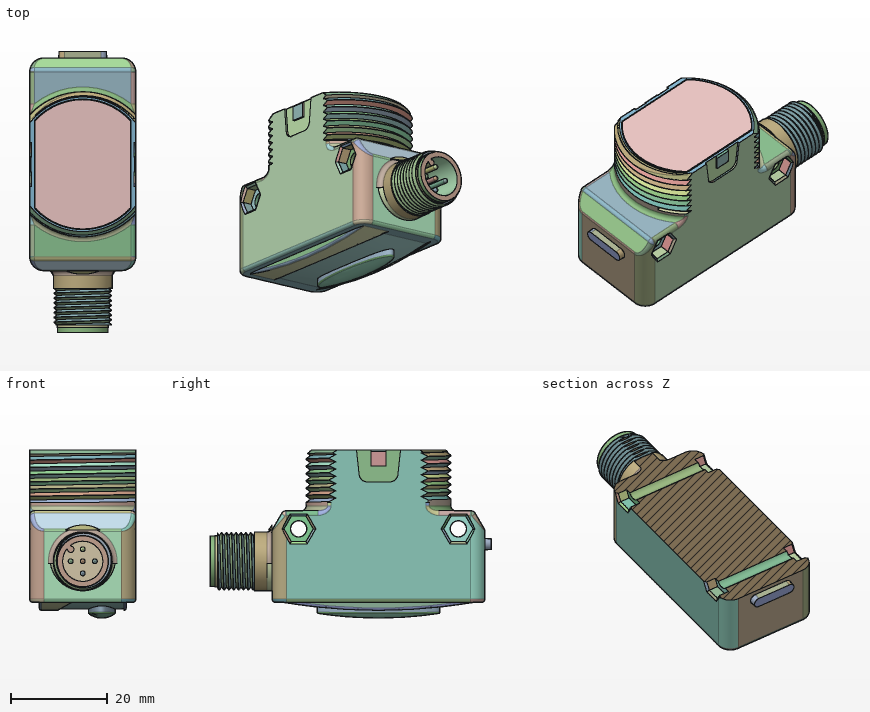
import cadquery as cq
import math


OVERLAP = 0.5
TOLERANCE = 0.01

WIDTH = 22.0
LENGTH = 44.0
BOX_HEIGHT = 18.95
CORNER_RADIUS = 3.0
TOP_EDGE_RADIUS = 1.0
BOTTOM_EDGE_RADIUS = 0.7
END_SLOPE_RUN = 2.3
END_SLOPE_DROP = END_SLOPE_RUN * math.tan(math.radians(60))

BARREL_TOP = 31.5
BARREL_RADIUS = 15.0
BARREL_FLARE = 1.0
PLAIN_HEIGHT = 0.7
FOOT_TOP = BOX_HEIGHT + BARREL_FLARE + PLAIN_HEIGHT
BARREL_CHAMFER = 1.1
BARREL_PITCH = 1.5
BARREL_THREAD_DEPTH = 0.9
BARREL_THREAD_LENGTH = 10.8
BARREL_THREAD_START = 114

WINDOW_WIDTH = 20.0
WINDOW_RADIUS = 13.5
WINDOW_THICKNESS = 2.0
WINDOW_CHAMFER = 0.15

RECESS_DEPTH = 0.4
RECESS_HEIGHT = 6.6
RECESS_TOP_WIDTH = 9.1
RECESS_BOTTOM_WIDTH = 7.7
RECESS_CORNER = 1.7
CATCH_WIDTH = 3.2
CATCH_HEIGHT = 3.35
CATCH_CHAMFER = 0.35

MOUNT_SPACING = 33.0
MOUNT_Z = BARREL_TOP - 16.3
MOUNT_HOLE = 3.3
NUT_ACROSS_FLATS = 5.25
NUT_POCKET_DEPTH = 2.5
NUT_LEAD_IN = 0.45

PLUG_Z = BARREL_TOP - 23.0
PLUG_LENGTH = 12.8
COLLAR_RADIUS = 6.1
COLLAR_LENGTH = 3.65
COLLAR_FLARE = 1.0
FLARE_BOTTOM = -0.45
FLARE_TOP = 6.5
FLARE_OVERLAP = 0.1
LOWER_FLARE_RADIUS = 6.8
PLUG_RADIUS = 5.95
PLUG_PITCH = 1.0
PLUG_THREAD_DEPTH = 0.6
PLUG_THREAD_LENGTH = 7.6
PLUG_THREAD_START = 180
NECK_RADIUS = 5.32
NECK_LENGTH = 0.5
NOSE_RADIUS = 5.25
BORE_RADIUS = 4.15
BORE_DEPTH = 8.7
KEY_RADIUS = 0.65
KEY_OFFSET = 3.5
KEY_WEB = 1.1
PIN_RADIUS = 0.5
PIN_LENGTH = 7.2
PIN_TIP_RADIUS = 0.45
PIN_OFFSET = 2.5

TAB_LENGTH = 10.0
TAB_HEIGHT = 2.4
TAB_PROJECTION = 1.33
TAB_DRAFT = 4.0
TAB_Z = BARREL_TOP - 19.45

PAD_WIDTH = 18.0
PAD_LENGTH = 39.4
PAD_DROP = 1.65
PAD_EDGE_RADIUS = 0.5
PANEL_DEPTH = 0.25
PANEL_RIGHT = 8.5
PANEL_LEFT_MIDDLE = -5.2
PANEL_LEFT_END = -2.3
BUTTON_X = 3.95
BUTTON_WIDTH = 5.6
BUTTON_LENGTH = 25.4
BUTTON_DROP = 3.25
BUTTON_CROWN = 1.0
BUTTON_CROSS_RADIUS = 4.4
BUTTON_RIM_RADIUS = 0.3


def threaded_rod(radius, depth, pitch, length, start_angle):
    """Rod along Z with a V-shaped groove that climbs from z = 0 to `length`.

    The groove starts at `start_angle` degrees from +X. Plain stretches of two pitches are
    left below and above it.
    """
    plain = 2 * pitch
    clearance = 0.02
    half_opening = 0.48 * pitch
    root = radius - depth
    helix = cq.Wire.makeHelix(pitch, length, root)
    section = (
        cq.Workplane("XZ")
        .moveTo(root, 0)
        .lineTo(radius + clearance, half_opening)
        .lineTo(radius + clearance, -half_opening)
        .close()
    )
    groove = section.sweep(cq.Workplane(helix), isFrenet=True)
    rod = cq.Workplane("XY").workplane(offset=-plain).circle(radius).extrude(length + 2 * plain)
    return rod.cut(groove).rotate((0, 0, 0), (0, 0, 1), start_angle)


def between_flats(body, width):
    """Trim a body to the given width across X."""
    size = 4 * LENGTH
    return body.intersect(cq.Workplane("XY").box(width, size, size))


def make_box():
    box = (
        cq.Workplane("XY")
        .box(WIDTH, LENGTH, BOX_HEIGHT, centered=(True, True, False))
        .edges("|Z")
        .fillet(CORNER_RADIUS)
    )
    for end in (-1, 1):
        wedge = (
            cq.Workplane("YZ")
            .moveTo(end * (LENGTH / 2 - END_SLOPE_RUN), BOX_HEIGHT)
            .lineTo(end * LENGTH / 2, BOX_HEIGHT)
            .lineTo(end * LENGTH / 2, BOX_HEIGHT - END_SLOPE_DROP)
            .close()
            .extrude(WIDTH, both=True)
        )
        box = box.cut(wedge)
    return box.faces("<Z").edges().fillet(BOTTOM_EDGE_RADIUS)


def make_barrel():
    """Plain barrel with a chamfered top and a flare that runs out onto the box."""
    flare_radius = BARREL_RADIUS + BARREL_FLARE
    flare_middle = flare_radius - BARREL_FLARE * math.sqrt(0.5)
    flare_middle_z = BOX_HEIGHT + BARREL_FLARE * (1 - math.sqrt(0.5))
    barrel = (
        cq.Workplane("XZ")
        .moveTo(0, BOX_HEIGHT - OVERLAP)
        .lineTo(flare_radius, BOX_HEIGHT - OVERLAP)
        .lineTo(flare_radius, BOX_HEIGHT)
        .threePointArc((flare_middle, flare_middle_z), (BARREL_RADIUS, BOX_HEIGHT + BARREL_FLARE))
        .lineTo(BARREL_RADIUS, BARREL_TOP - BARREL_CHAMFER)
        .lineTo(BARREL_RADIUS - BARREL_CHAMFER, BARREL_TOP)
        .lineTo(0, BARREL_TOP)
        .close()
        .revolve(360, (0, 0, 0), (0, 1, 0))
    )
    return between_flats(barrel, WIDTH)


def make_barrel_rod():
    rod = threaded_rod(
        BARREL_RADIUS,
        BARREL_THREAD_DEPTH,
        BARREL_PITCH,
        BARREL_THREAD_LENGTH + BARREL_PITCH,
        BARREL_THREAD_START,
    )
    return rod.translate((0, 0, BARREL_TOP - BARREL_THREAD_LENGTH))


def make_window():
    window = (
        cq.Workplane("XY")
        .workplane(offset=BARREL_TOP - WINDOW_THICKNESS)
        .circle(WINDOW_RADIUS)
        .extrude(WINDOW_THICKNESS)
    )
    return between_flats(window, WINDOW_WIDTH)


def make_snap_recess(side):
    """Recess in one flat of the barrel, leaving a square catch that leans in at its top."""
    floor_x = WIDTH / 2 - RECESS_DEPTH
    bottom = BARREL_TOP - RECESS_HEIGHT
    recess = (
        cq.Workplane("YZ")
        .workplane(offset=floor_x)
        .moveTo(-RECESS_TOP_WIDTH / 2, BARREL_TOP)
        .lineTo(RECESS_TOP_WIDTH / 2, BARREL_TOP)
        .lineTo(RECESS_BOTTOM_WIDTH / 2, bottom)
        .lineTo(-RECESS_BOTTOM_WIDTH / 2, bottom)
        .close()
        .extrude(RECESS_DEPTH)
        .edges("|X and <Z")
        .fillet(RECESS_CORNER)
    )
    catch = (
        cq.Workplane("XZ")
        .moveTo(floor_x, BARREL_TOP)
        .lineTo(floor_x, BARREL_TOP - CATCH_HEIGHT)
        .lineTo(WIDTH / 2, BARREL_TOP - CATCH_HEIGHT)
        .lineTo(WIDTH / 2, BARREL_TOP - CATCH_CHAMFER)
        .lineTo(WIDTH / 2 - CATCH_CHAMFER, BARREL_TOP)
        .close()
        .extrude(CATCH_WIDTH / 2, both=True)
    )
    recess = recess.cut(catch)
    return recess if side > 0 else recess.mirror("YZ")


def make_mount_hole(y):
    """Cross hole with a chamfered nut pocket at each end."""
    corner_ratio = 1 / math.cos(math.pi / 6)
    inner = NUT_ACROSS_FLATS * corner_ratio
    outer = (NUT_ACROSS_FLATS + 2 * NUT_LEAD_IN) * corner_ratio
    pocket = (
        cq.Workplane("YZ")
        .workplane(offset=WIDTH / 2 - NUT_POCKET_DEPTH)
        .polygon(6, inner)
        .extrude(NUT_POCKET_DEPTH)
    )
    lead_in = (
        cq.Workplane("YZ")
        .workplane(offset=WIDTH / 2 - NUT_LEAD_IN)
        .polygon(6, inner)
        .workplane(offset=NUT_LEAD_IN)
        .polygon(6, outer)
        .loft()
    )
    pocket = pocket.union(lead_in)
    hole = cq.Workplane("YZ").circle(MOUNT_HOLE / 2).extrude(WIDTH, both=True)
    return hole.union(pocket).union(pocket.mirror("YZ")).translate((0, y, MOUNT_Z))


def along_plug(body):
    """Move a body built along +Z, with +Y up, onto the plug axis that points along -Y."""
    return body.rotate((0, 0, 0), (1, 0, 0), 90).translate((0, -LENGTH / 2, PLUG_Z))


def make_collar_flare():
    """Rounded foot over the upper half of the collar, and a foot below that fades out downwards."""
    foot_radius = COLLAR_RADIUS + COLLAR_FLARE
    foot_middle = foot_radius - COLLAR_FLARE * math.sqrt(0.5)
    foot_middle_z = COLLAR_FLARE * (1 - math.sqrt(0.5))
    span = 2 * foot_radius
    upper = (
        cq.Workplane("XZ")
        .moveTo(0, -FLARE_OVERLAP)
        .lineTo(foot_radius, -FLARE_OVERLAP)
        .lineTo(foot_radius, 0)
        .threePointArc((foot_middle, foot_middle_z), (COLLAR_RADIUS, COLLAR_FLARE))
        .lineTo(0, COLLAR_FLARE)
        .close()
        .revolve(360, (0, 0, 0), (0, 1, 0))
    )
    upper_space = cq.Workplane("XY").box(span, FLARE_TOP - FLARE_BOTTOM, span)
    upper_space = upper_space.translate((0, (FLARE_TOP + FLARE_BOTTOM) / 2, 0))
    lower = (
        cq.Workplane("XY")
        .center(0, LOWER_FLARE_RADIUS - COLLAR_RADIUS)
        .circle(LOWER_FLARE_RADIUS)
        .workplane(offset=COLLAR_FLARE)
        .center(0, COLLAR_RADIUS - LOWER_FLARE_RADIUS)
        .circle(COLLAR_RADIUS)
        .loft()
    )
    lower = lower.cut(upper_space)
    return upper.intersect(upper_space).union(lower)


def make_plug():
    collar = cq.Workplane("XY").workplane(offset=-OVERLAP).circle(COLLAR_RADIUS)
    collar = collar.extrude(COLLAR_LENGTH + OVERLAP)
    thread_end = COLLAR_LENGTH + PLUG_THREAD_LENGTH
    rod = threaded_rod(
        PLUG_RADIUS, PLUG_THREAD_DEPTH, PLUG_PITCH, PLUG_THREAD_LENGTH + PLUG_PITCH, PLUG_THREAD_START
    )
    threaded = rod.translate((0, 0, COLLAR_LENGTH - PLUG_PITCH / 2)).cut(
        cq.Workplane("XY").workplane(offset=thread_end).circle(2 * PLUG_RADIUS).extrude(PLUG_LENGTH)
    )
    nose = cq.Workplane("XY").circle(NOSE_RADIUS).extrude(PLUG_LENGTH)
    neck = cq.Workplane("XY").circle(NECK_RADIUS)
    neck = neck.extrude(thread_end + NECK_LENGTH)
    plug = threaded.union(collar).union(neck).union(nose)
    bore_floor = PLUG_LENGTH - BORE_DEPTH
    bore = cq.Workplane("XY").workplane(offset=bore_floor).circle(BORE_RADIUS).extrude(BORE_DEPTH)
    key = (
        cq.Workplane("XY")
        .workplane(offset=bore_floor)
        .center(-KEY_OFFSET, 0)
        .circle(KEY_RADIUS)
        .extrude(BORE_DEPTH)
    )
    key_web = cq.Workplane("XY").box(
        2 * KEY_RADIUS, KEY_WEB, BORE_DEPTH, centered=(True, True, False)
    )
    key = key.union(key_web.translate((-KEY_OFFSET - KEY_RADIUS, 0, bore_floor)))
    key = key.rotate((0, 0, 0), (0, 0, 1), -45)
    pin_places = [(0, 0), (PIN_OFFSET, 0), (-PIN_OFFSET, 0), (0, PIN_OFFSET), (0, -PIN_OFFSET)]
    pins = (
        cq.Workplane("XY")
        .workplane(offset=bore_floor - OVERLAP)
        .pushPoints(pin_places)
        .circle(PIN_RADIUS)
        .extrude(PIN_LENGTH + OVERLAP)
        .faces(">Z")
        .edges()
        .fillet(PIN_TIP_RADIUS)
    )
    plug = plug.cut(bore.cut(key)).union(pins)
    return along_plug(plug.union(make_collar_flare()))


def make_tab():
    """Round-ended tab with drafted sides, on a root that reaches into the end wall."""
    end_wall = cq.Workplane("XZ").workplane(offset=-LENGTH / 2).center(0, TAB_Z)
    root = end_wall.slot2D(TAB_LENGTH, TAB_HEIGHT).extrude(OVERLAP)
    tab = end_wall.slot2D(TAB_LENGTH, TAB_HEIGHT).extrude(-TAB_PROJECTION, taper=TAB_DRAFT)
    return tab.union(root)


def make_pad():
    """Curved pad under the box with a shallow sunken panel that follows the same curve."""
    pad = (
        cq.Workplane("YZ")
        .workplane(offset=-PAD_WIDTH / 2)
        .moveTo(-PAD_LENGTH / 2, OVERLAP)
        .lineTo(-PAD_LENGTH / 2, 0)
        .threePointArc((0, -PAD_DROP), (PAD_LENGTH / 2, 0))
        .lineTo(PAD_LENGTH / 2, OVERLAP)
        .close()
        .extrude(PAD_WIDTH)
    )
    panel_outline = (
        cq.Workplane("XY")
        .workplane(offset=-2 * PAD_DROP)
        .moveTo(PANEL_RIGHT, -PAD_LENGTH / 2)
        .lineTo(PANEL_RIGHT, PAD_LENGTH / 2)
        .lineTo(PANEL_LEFT_END, PAD_LENGTH / 2)
        .threePointArc((PANEL_LEFT_MIDDLE, 0), (PANEL_LEFT_END, -PAD_LENGTH / 2))
        .close()
        .extrude(2 * PAD_DROP)
    )
    panel = panel_outline.cut(pad.translate((0, 0, PANEL_DEPTH)))
    pad = pad.faces("<X or >X").edges("%CIRCLE").fillet(PAD_EDGE_RADIUS)
    return pad.cut(panel)


def make_button():
    """Long elliptical button whose underside is crowned both ways."""
    axis_z = -BUTTON_DROP + BUTTON_CROSS_RADIUS
    end_radius = BUTTON_CROSS_RADIUS - BUTTON_CROWN
    crown = (
        cq.Workplane("YZ")
        .moveTo(-BUTTON_LENGTH / 2, axis_z)
        .lineTo(-BUTTON_LENGTH / 2, axis_z - end_radius)
        .threePointArc((0, -BUTTON_DROP), (BUTTON_LENGTH / 2, axis_z - end_radius))
        .lineTo(BUTTON_LENGTH / 2, axis_z)
        .close()
        .revolve(360, (0, axis_z, 0), (1, axis_z, 0))
    )
    outline = (
        cq.Workplane("XY")
        .workplane(offset=-BUTTON_DROP)
        .ellipse(BUTTON_WIDTH / 2, BUTTON_LENGTH / 2)
        .extrude(BUTTON_DROP + OVERLAP)
    )
    button = outline.intersect(crown).faces("<Z").edges().fillet(BUTTON_RIM_RADIUS)
    return button.translate((BUTTON_X, 0, 0))


def make_foot_space():
    """Space below the threaded part of the barrel."""
    return cq.Workplane("XY").box(2 * WIDTH, 2 * LENGTH, 2 * FOOT_TOP)


def make_body():
    """Box and barrel foot with their upper outline rounded off."""
    body = make_box().union(make_barrel().intersect(make_foot_space()))
    slope_bottom = BOX_HEIGHT - END_SLOPE_DROP

    def is_outline(edge):
        middle = edge.Center()
        on_side = abs(abs(middle.x) - WIDTH / 2) < TOLERANCE
        on_end = abs(middle.y) > LENGTH / 2 - END_SLOPE_RUN - TOLERANCE
        above_walls = middle.z > slope_bottom - TOLERANCE
        below_rim = middle.z < FOOT_TOP - TOLERANCE
        return (on_side or on_end) and above_walls and below_rim

    return body.edges().filter(is_outline).fillet(TOP_EDGE_RADIUS)


def make_threaded_barrel():
    """Sharp-edged barrel above the foot, with the window seat and both snap recesses."""
    barrel = make_barrel().cut(make_foot_space()).cut(make_window())
    for side in (-1, 1):
        barrel = barrel.cut(make_snap_recess(side))
    return barrel.intersect(make_barrel_rod())


def make_housing():
    housing = make_body()
    for feature in (make_tab(), make_pad(), make_button()):
        housing = housing.union(feature)
    for y in (-MOUNT_SPACING / 2, MOUNT_SPACING / 2):
        housing = housing.cut(make_mount_hole(y))
    return housing.union(make_threaded_barrel()).union(make_plug())


housing = make_housing()
window = make_window().faces(">Z").edges().chamfer(WINDOW_CHAMFER)

result = cq.Compound.makeCompound([housing.val(), window.val()])